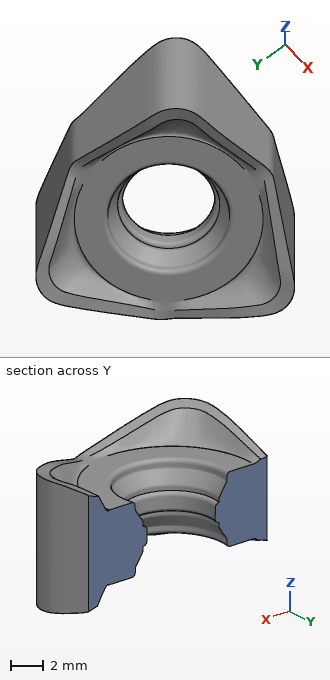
import cadquery as cq
import math

TOTAL_HEIGHT = 9.0
CORNERS = 3
CORNER_PITCH = 360.0 / CORNERS
CORNER_DIRECTION = 223.4

SIDE_ANGLE = 45.0
SIDE_DISTANCE = 7.02
CORNER_RADIUS = 2.1
BLUNT_RADIUS = 1.5
FACET_ANGLE = 41.5
FACET_DISTANCE = 7.281

LAND_LEFT_ANGLE = -43.4
LAND_LEFT_DISTANCE = 6.43
LAND_RIGHT_ANGLE = 42.7
LAND_RIGHT_DISTANCE = 6.345
LAND_CORNER_RADIUS = 1.75
LAND_BLUNT_RADIUS = 1.5

CREST_HEIGHT = TOTAL_HEIGHT / 2
VALLEY_HEIGHT = 2.6
CREST_ANGLE = 3.0
VALLEY_ANGLE = 62.2
RIGHT_CREST_BLEND = 0.2
RIGHT_VALLEY_BLEND = 0.08
LEFT_CREST_BLEND = 0.45
LEFT_VALLEY_BLEND = 0.12

SEAT_HEIGHT = 2.55
SEAT_RADIUS = 5.9
LAND_DROP = 0.26
RIGHT_DROP_FADE = 4
LEFT_DROP_FADE = 1
BREAKER_MID_REACH = 0.35
BREAKER_MID_RISE = 0.13
STATION_STEP = 3
CUTTER_OVERHANG = 1.0
CUTTER_TOP = CREST_HEIGHT + 1.5

BORE_RADIUS = 2.89
STEP_RADIUS = 3.19
MOUTH_RADIUS = 3.8
STEP_ROUNDING = STEP_RADIUS - BORE_RADIUS
RIM_ROUNDING = 0.3
CONE_ROUNDING = 0.165
ARC_MIDDLE = 1 - math.sqrt(0.5)
STEP_HEIGHT = 0.68
CONE_FOOT_HEIGHT = 1.01
CONE_TOP_HEIGHT = 1.95


def polar(radius, degrees):
    angle = math.radians(degrees)
    return radius * math.cos(angle), radius * math.sin(angle)


def meeting_point(side_a, side_b, inset=0.0):
    """Point where two sides meet after both are moved inward by `inset`."""
    a, b = math.radians(side_a[0]), math.radians(side_b[0])
    da, db = side_a[1] - inset, side_b[1] - inset
    turn = math.sin(b - a)
    x = (da * math.sin(b) - db * math.sin(a)) / turn
    y = (db * math.cos(a) - da * math.cos(b)) / turn
    return x, y


def all_corners(sides):
    """Repeat one corner's sides, (normal, distance, radius to next side), around the hole axis."""
    turned = []
    for corner in range(CORNERS):
        direction = CORNER_DIRECTION + corner * CORNER_PITCH
        turned += [(direction + angle, distance, radius) for angle, distance, radius in sides]
    return turned


WALL_SIDES = all_corners([
    (-SIDE_ANGLE, SIDE_DISTANCE, 0),
    (-FACET_ANGLE, FACET_DISTANCE, CORNER_RADIUS),
    (FACET_ANGLE, FACET_DISTANCE, 0),
    (SIDE_ANGLE, SIDE_DISTANCE, BLUNT_RADIUS),
])
LAND_SIDES = all_corners([
    (LAND_LEFT_ANGLE, LAND_LEFT_DISTANCE, LAND_CORNER_RADIUS),
    (LAND_RIGHT_ANGLE, LAND_RIGHT_DISTANCE, LAND_BLUNT_RADIUS),
])


def next_sides(sides):
    return zip(sides, sides[1:] + sides[:1])


def border_radius(sides, degrees):
    """Distance from the hole axis to a rounded border in the given direction."""
    ray = math.radians(degrees)
    radius = min(
        distance / math.cos(ray - math.radians(normal))
        for normal, distance, _ in sides
        if math.cos(ray - math.radians(normal)) > 0
    )
    for side, following in next_sides(sides):
        rounding = side[2]
        cx, cy = meeting_point(side, following, rounding)
        along = cx * math.cos(ray) + cy * math.sin(ray)
        across = cy * math.cos(ray) - cx * math.sin(ray)
        if along < 0 or abs(across) >= rounding:
            continue
        reach = along + math.sqrt(rounding**2 - across**2)
        px, py = reach * math.cos(ray) - cx, reach * math.sin(ray) - cy
        turn = (math.degrees(math.atan2(py, px)) - side[0]) % 360
        if turn < (following[0] - side[0]) % 360:
            radius = reach
    return radius


def slope(part, crest_blend, valley_blend):
    """Fall from 0 to 1: a straight ramp with parabolic roundings at both ends."""
    steepness = 1 / (1 - (crest_blend + valley_blend) / 2)
    if part < crest_blend:
        return steepness * part**2 / (2 * crest_blend)
    if part > 1 - valley_blend:
        return 1 - steepness * (1 - part) ** 2 / (2 * valley_blend)
    return steepness * (part - crest_blend / 2)


def edge_and_land_heights(degrees):
    """Heights of the cutting edge and of the land's inner border in the given direction."""
    from_crest = (degrees - CORNER_DIRECTION - CREST_ANGLE) % CORNER_PITCH
    right_span = VALLEY_ANGLE - CREST_ANGLE
    left_span = CORNER_PITCH - right_span
    if from_crest < right_span:
        fall = slope(from_crest / right_span, RIGHT_CREST_BLEND, RIGHT_VALLEY_BLEND)
        fade = RIGHT_DROP_FADE
    else:
        part = (CORNER_PITCH - from_crest) / left_span
        fall = slope(part, LEFT_CREST_BLEND, LEFT_VALLEY_BLEND)
        fade = LEFT_DROP_FADE
    edge = between(CREST_HEIGHT, VALLEY_HEIGHT, fall)
    return edge, edge - LAND_DROP * (1 - fall**fade)


def between(start, end, part):
    return start + (end - start) * part


def closed_curve(points):
    return cq.Wire.assembleEdges([cq.Edge.makeSpline([cq.Vector(*p) for p in points], periodic=True)])


def face_cutter():
    """Everything above the cutting edges, lands, breaker hollow and seat of the upper face."""
    seat, hollow, land, outer, cap = [], [], [], [], []
    for station in range(0, 360, STATION_STEP):
        direction = CORNER_DIRECTION + station
        edge_r = border_radius(WALL_SIDES, direction)
        edge_z, land_z = edge_and_land_heights(direction)
        land_r = border_radius(LAND_SIDES, direction)
        hollow_r = between(SEAT_RADIUS, land_r, BREAKER_MID_REACH)
        hollow_z = between(SEAT_HEIGHT, land_z, BREAKER_MID_RISE)
        outer_r = edge_r + CUTTER_OVERHANG
        outer_z = between(land_z, edge_z, (outer_r - land_r) / (edge_r - land_r))
        seat.append((*polar(SEAT_RADIUS, direction), SEAT_HEIGHT))
        hollow.append((*polar(hollow_r, direction), hollow_z))
        land.append((*polar(land_r, direction), land_z))
        outer.append((*polar(outer_r, direction), outer_z))
        cap.append((*polar(outer_r, direction), CUTTER_TOP))
    seat, hollow, land, outer, cap = [closed_curve(c) for c in (seat, hollow, land, outer, cap)]
    faces = [cq.Face.makeFromWires(seat), cq.Face.makeFromWires(cap)]
    faces += cq.occ_impl.shapes.loft(seat, hollow, land).Faces()
    faces += cq.occ_impl.shapes.loft(land, outer, ruled=True).Faces()
    faces += cq.occ_impl.shapes.loft(outer, cap, ruled=True).Faces()
    return cq.Solid.makeSolid(cq.Shell.makeShell(faces)).fix()


def blank():
    """Prism with the rounded outline of the side walls."""
    start_x, start_y = meeting_point(WALL_SIDES[-2], WALL_SIDES[-1])
    outline = cq.Workplane("XY", origin=(0, 0, -CREST_HEIGHT)).moveTo(start_x, start_y)
    for side, following in zip(WALL_SIDES[-1:] + WALL_SIDES[:-2], WALL_SIDES[:-1]):
        rounding = side[2]
        cx, cy = meeting_point(side, following, rounding)
        if rounding == 0:
            outline = outline.lineTo(cx, cy)
            continue
        turn = (following[0] - side[0]) % 360
        start, middle, end = [
            (cx + dx, cy + dy)
            for dx, dy in (polar(rounding, side[0] + turn * part) for part in (0, 0.5, 1))
        ]
        outline = outline.lineTo(*start).threePointArc(middle, end)
    return outline.close().extrude(TOTAL_HEIGHT)


def half_hole():
    """Upper half of the stepped hole: bore, rounded step, cone, mouth and rounded rim."""
    step_middle = STEP_ROUNDING * ARC_MIDDLE
    rim_middle = RIM_ROUNDING * ARC_MIDDLE
    rim_radius = MOUTH_RADIUS + RIM_ROUNDING
    hole = (
        cq.Workplane("XZ")
        .lineTo(BORE_RADIUS, 0)
        .lineTo(BORE_RADIUS, STEP_HEIGHT - STEP_ROUNDING)
        .threePointArc(
            (BORE_RADIUS + step_middle, STEP_HEIGHT - step_middle), (STEP_RADIUS, STEP_HEIGHT)
        )
        .lineTo(STEP_RADIUS, CONE_FOOT_HEIGHT)
        .lineTo(MOUTH_RADIUS, CONE_TOP_HEIGHT)
        .lineTo(MOUTH_RADIUS, SEAT_HEIGHT - RIM_ROUNDING)
        .threePointArc(
            (MOUTH_RADIUS + rim_middle, SEAT_HEIGHT - rim_middle), (rim_radius, SEAT_HEIGHT)
        )
        .lineTo(rim_radius, CREST_HEIGHT)
        .lineTo(0, CREST_HEIGHT)
        .close()
        .revolve(360, (0, 0), (0, 1))
    )
    near_axis = BORE_RADIUS / 2
    margin = CONE_ROUNDING / 2
    cone_ends = cq.selectors.BoxSelector(
        (-near_axis, -near_axis, CONE_FOOT_HEIGHT - margin),
        (near_axis, near_axis, CONE_TOP_HEIGHT + margin),
    )
    return hole.edges("%CIRCLE").edges(cone_ends).fillet(CONE_ROUNDING)


def lower(tool):
    """Turn an upper-face tool over onto the lower face, about the first corner's axis."""
    return tool.rotate((0, 0, 0), (*polar(1, CORNER_DIRECTION), 0), 180)


result = blank()
for tool in (cq.Workplane(face_cutter()), half_hole()):
    result = result.cut(tool).cut(lower(tool))